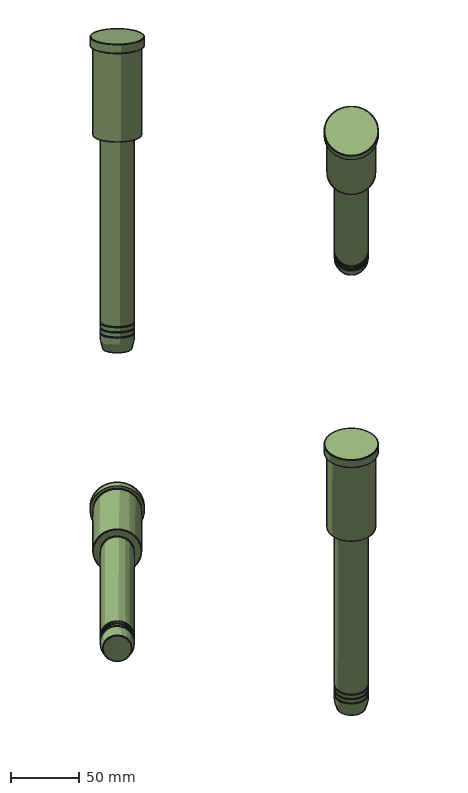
import cadquery as cq

TOTAL_LENGTH = 240.0

HEAD_RADIUS = 20.0
HEAD_THICKNESS = 7.0
HEAD_CHAMFER = 0.5
HEAD_BOTTOM = TOTAL_LENGTH - HEAD_THICKNESS

BODY_RADIUS = 18.0
BODY_LENGTH = 69.0
BODY_CHAMFER = 0.5
BODY_BOTTOM = HEAD_BOTTOM - BODY_LENGTH

SHANK_RADIUS = 12.5

GROOVE_WIDTH = 1.0
GROOVE_DEPTH = 0.5
GROOVE_COUNT = 3
LOWEST_GROOVE_Z = 12.0
GROOVE_PITCH = 4.0

TIP_LENGTH = 7.0
TIP_CHAMFER = 0.5
TIP_RADIUS = 10.8
TIP_BULGE = 0.2


def revolve_profile(profile):
    """Close a radius/height profile and spin it around the Z axis."""
    return profile.close().revolve(360, (0, 0), (0, 1))


def v_groove(radius, bottom):
    """Ring that cuts a V groove into a cylinder of the given radius."""
    return revolve_profile(
        cq.Workplane("XZ")
        .moveTo(-radius, bottom)
        .lineTo(-(radius - GROOVE_DEPTH), bottom + GROOVE_WIDTH / 2)
        .lineTo(-radius, bottom + GROOVE_WIDTH)
    )


def make_blank():
    """Stepped pin with its head, body, shank and curved lead-in."""
    flank_mid_radius = (TIP_RADIUS + SHANK_RADIUS) / 2 + TIP_BULGE
    flank_mid_height = (TIP_CHAMFER + TIP_LENGTH) / 2
    return revolve_profile(
        cq.Workplane("XZ")
        .lineTo(-(TIP_RADIUS - TIP_CHAMFER), 0)
        .lineTo(-TIP_RADIUS, TIP_CHAMFER)
        .threePointArc((-flank_mid_radius, flank_mid_height), (-SHANK_RADIUS, TIP_LENGTH))
        .lineTo(-SHANK_RADIUS, BODY_BOTTOM)
        .lineTo(-(BODY_RADIUS - BODY_CHAMFER), BODY_BOTTOM)
        .lineTo(-BODY_RADIUS, BODY_BOTTOM + BODY_CHAMFER)
        .lineTo(-BODY_RADIUS, HEAD_BOTTOM)
        .lineTo(-HEAD_RADIUS, HEAD_BOTTOM)
        .lineTo(-HEAD_RADIUS, TOTAL_LENGTH - HEAD_CHAMFER)
        .lineTo(-(HEAD_RADIUS - HEAD_CHAMFER), TOTAL_LENGTH)
        .lineTo(0, TOTAL_LENGTH)
    )


def cut_shoulder_undercuts(pin):
    """Undercut the body below the head and the shank below the body."""
    pin = pin.cut(v_groove(BODY_RADIUS, HEAD_BOTTOM - GROOVE_WIDTH))
    return pin.cut(v_groove(SHANK_RADIUS, BODY_BOTTOM - GROOVE_WIDTH))


def cut_lubrication_grooves(pin):
    """Cut the evenly spaced grooves near the tip."""
    for index in range(GROOVE_COUNT):
        pin = pin.cut(v_groove(SHANK_RADIUS, LOWEST_GROOVE_Z + index * GROOVE_PITCH))
    return pin


result = cut_lubrication_grooves(cut_shoulder_undercuts(make_blank()))